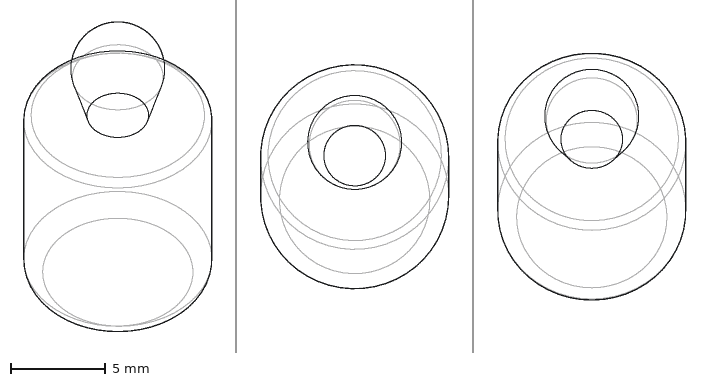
import cadquery as cq
import math

total_height = 18.0
body_diameter = 10.0
body_height = 11.95
top_edge_radius = 0.4
bottom_edge_radius = 1.0
ball_diameter = 5.0
neck_half_angle = math.radians(15)

ball_radius = ball_diameter / 2
ball_center_z = total_height - ball_radius
tangent_radius = ball_radius * math.cos(neck_half_angle)
tangent_z = ball_center_z - ball_radius * math.sin(neck_half_angle)
neck_base_radius = tangent_radius - (tangent_z - body_height) * math.tan(neck_half_angle)


def make_body():
    """Cylinder with a small round on the top edge and a larger one below."""
    body = cq.Workplane("XY").circle(body_diameter / 2).extrude(body_height)
    body = body.faces(">Z").edges().fillet(top_edge_radius)
    return body.faces("<Z").edges().fillet(bottom_edge_radius)


def make_pin():
    """Tapered neck and ball tip, revolved about the vertical axis."""
    return (
        cq.Workplane("XZ")
        .moveTo(0, body_height)
        .lineTo(neck_base_radius, body_height)
        .lineTo(tangent_radius, tangent_z)
        .threePointArc((ball_radius, ball_center_z), (0, total_height))
        .close()
        .revolve(360, (0, 0, 0), (0, 1, 0))
    )


result = make_body().union(make_pin())